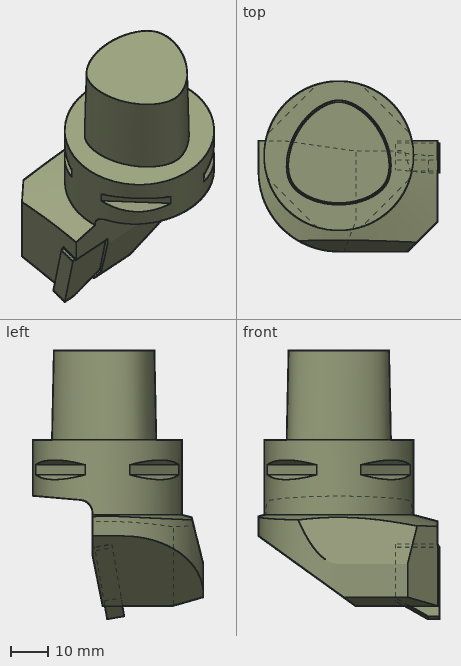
import cadquery as cq
import math


shank_height = 24.0
shank_base_radius = 14.005
shank_top_radius = 13.5
lobe_height = 0.9
lobe_count = 3
curve_points = 48

flange_radius = 20.0
flange_height = 20.0
slot_count = 4
slot_floor_radius = 17.7
slot_floor_height = 2.6
slot_middle_z = -8.0
slot_flare_angle = 30.0

head_left = -21.5
head_right = 26.5
head_front = -25.7
head_back = 4.0
head_bottom = -44.5
corner_chamfer = 8.1
top_cone_angle = 15.0
front_bevel_angle = 14.0
front_bevel_z = -33.2
bottom_bevel_width = 8.35
bottom_bevel_height = 2.4
underside_left_z = -25.7
underside_end_x = 4.5
back_slope_z = -30.75
back_slope_depth = 2.7

relief_edge_z = -15.0
relief_angle = 5.0
relief_fillet = 3.45

insert_right = 27.0
insert_foot_width = 3.1
insert_tip_y = 0.1
insert_tip_z = shank_height - 72.0
insert_thickness = 4.7
insert_lean = 10.0
insert_width = 11.9
insert_edge_height = 18.7
insert_corner_width = 0.6
insert_edge_angle = 30.0

clearance = 7.2


def tangent(angle):
    return math.tan(math.radians(angle))


def lobed_outline(mean_radius, z):
    """Closed constant-width wire with three lobes."""

    def point(turn):
        angle = 2 * math.pi * turn / curve_points
        reach = mean_radius + lobe_height * math.cos(lobe_count * angle)
        slide = -lobe_count * lobe_height * math.sin(lobe_count * angle)
        across = reach * math.sin(angle) + slide * math.cos(angle)
        along = reach * math.cos(angle) - slide * math.sin(angle)
        return cq.Vector(across, along, z)

    edge = cq.Edge.makeSpline([point(i) for i in range(curve_points)], periodic=True)
    return cq.Wire.assembleEdges([edge])


def make_shank():
    base = lobed_outline(shank_base_radius, 0)
    top = lobed_outline(shank_top_radius, shank_height)
    return cq.Workplane(cq.Solid.makeLoft([base, top], True))


def make_slot(angle):
    """Trapezoidal groove along a chord of the flange."""
    outer = flange_radius + clearance
    floor_half = slot_floor_height / 2
    outer_half = floor_half + (outer - slot_floor_radius) * tangent(slot_flare_angle)
    return (
        cq.Workplane("XZ")
        .moveTo(slot_floor_radius, slot_middle_z - floor_half)
        .lineTo(outer, slot_middle_z - outer_half)
        .lineTo(outer, slot_middle_z + outer_half)
        .lineTo(slot_floor_radius, slot_middle_z + floor_half)
        .close()
        .extrude(flange_radius, both=True)
        .rotate((0, 0, 0), (0, 0, 1), angle)
    )


def make_relief():
    """Space under the flange, behind the head, with a rounded inner corner."""
    outer_y = flange_radius + clearance
    roof_rise = clearance * tangent(relief_angle)
    inner_z = relief_edge_z - (flange_radius - head_back) * tangent(relief_angle)
    return (
        cq.Workplane("YZ")
        .moveTo(head_back, head_bottom)
        .lineTo(head_back, inner_z)
        .lineTo(outer_y, relief_edge_z + roof_rise)
        .lineTo(outer_y, head_bottom)
        .close()
        .extrude(flange_radius + clearance, both=True)
        .edges(cq.selectors.NearestToPointSelector((0, head_back, inner_z)))
        .fillet(relief_fillet)
    )


def make_flange():
    flange = cq.Workplane("XY").circle(flange_radius).extrude(-flange_height)
    for i in range(slot_count):
        flange = flange.cut(make_slot((i + 0.5) * 360 / slot_count))
    return flange.cut(make_relief())


def head_plan():
    """Head seen along Z: rounded front left corner, chamfered front right corner."""
    corner_radius = -head_left
    arc_center_y = head_front + corner_radius
    diagonal = corner_radius * math.sqrt(0.5)
    return (
        cq.Workplane("XY")
        .moveTo(head_left, head_back)
        .lineTo(head_left, arc_center_y)
        .threePointArc((-diagonal, arc_center_y - diagonal), (0, head_front))
        .lineTo(head_right - corner_chamfer, head_front)
        .lineTo(head_right, head_front + corner_chamfer)
        .lineTo(head_right, head_back)
        .close()
        .extrude(head_bottom)
    )


def head_side():
    """Head seen along X: bevelled front and leaning lower back."""
    front_top_y = head_front - front_bevel_z * tangent(front_bevel_angle)
    return (
        cq.Workplane("YZ")
        .moveTo(front_top_y, 0)
        .lineTo(head_front, front_bevel_z)
        .lineTo(head_front, head_bottom + bottom_bevel_height)
        .lineTo(head_front + bottom_bevel_width, head_bottom)
        .lineTo(head_back - back_slope_depth, head_bottom)
        .lineTo(head_back, back_slope_z)
        .lineTo(head_back, 0)
        .close()
        .extrude(head_right + clearance, both=True)
    )


def head_underside():
    """Head seen along Y: sloping underside below the left side."""
    return (
        cq.Workplane("XZ")
        .moveTo(head_left, 0)
        .lineTo(head_left, underside_left_z)
        .lineTo(underside_end_x, head_bottom)
        .lineTo(head_right, head_bottom)
        .lineTo(head_right, 0)
        .close()
        .extrude(-head_front + clearance, both=True)
    )


def head_top():
    """Everything below the flange and the cone that runs out from its edge."""
    cone_radius = math.hypot(head_right, head_front) + clearance
    cone_drop = (cone_radius - flange_radius) * tangent(top_cone_angle)
    return (
        cq.Workplane("XZ")
        .moveTo(0, -flange_height)
        .lineTo(flange_radius, -flange_height)
        .lineTo(cone_radius, -flange_height - cone_drop)
        .lineTo(cone_radius, head_bottom)
        .lineTo(0, head_bottom)
        .close()
        .revolve(360, (0, 0), (0, 1))
    )


def make_head():
    return head_plan().intersect(head_side()).intersect(head_underside()).intersect(head_top())


def insert_prism(back_depth, front_depth):
    """Insert outline, extruded each way from the rake face, leaning at the rake angle."""
    left = insert_right - insert_width
    foot_end = insert_right - insert_foot_width
    left_rise = (foot_end - left) * tangent(insert_edge_angle)
    corner_height = insert_corner_width / tangent(insert_edge_angle)
    top = insert_edge_height + corner_height
    return (
        cq.Workplane("XZ", origin=(0, front_depth, 0))
        .moveTo(foot_end, 0)
        .lineTo(insert_right, 0)
        .lineTo(insert_right, insert_edge_height)
        .lineTo(insert_right - insert_corner_width, top)
        .lineTo(left, top)
        .lineTo(left, left_rise)
        .close()
        .extrude(front_depth + back_depth)
        .rotate((0, 0, 0), (1, 0, 0), -insert_lean)
        .translate((0, insert_tip_y, insert_tip_z))
    )


def make_insert():
    return insert_prism(insert_thickness, 0)


def make_holder():
    """Shank, flange and head in one piece, with an insert pocket open toward +Y."""
    pocket = insert_prism(insert_thickness, clearance)
    return make_shank().union(make_flange()).union(make_head()).cut(pocket)


holder = make_holder()
insert = make_insert()
result = cq.Compound.makeCompound([holder.solids().val(), insert.val()])